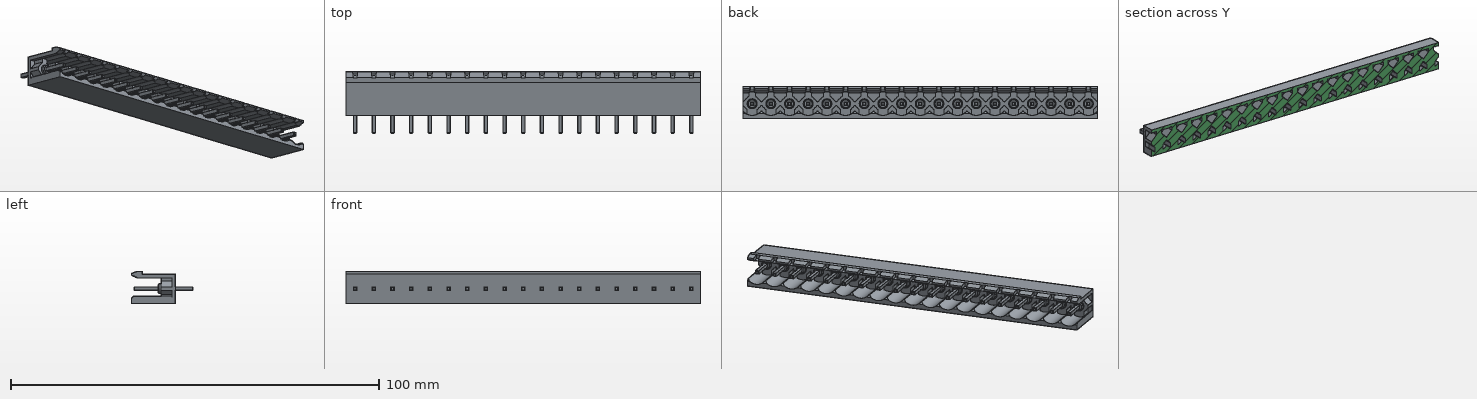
import cadquery as cq
import math

length = 96.4
pin_count = 19
pitch = length / pin_count
axis_height = 4.05

body_depth = 12.0
body_height = 8.0
floor_thickness = 2.0
roof_thickness = 1.1
back_wall = 0.9
floor_lip_chamfer = 0.6
roof_underside = body_height - roof_thickness

hook_top = 8.8
hook_start = 9.0
hook_crest_end = 10.4
tip_top = 8.2
tip_bottom = 7.7
underside_slope_start = 10.3

notch_inner_width = 1.0
notch_mouth_width = 1.4
notch_start = 10.2
notch_floor_height = 7.7
notch_floor_slope = math.radians(15)

channel_radius = 3.2

bridge_front = 3.9
bridge_band_height = 0.9
bridge_upper_half_width = 0.9
bridge_lower_half_width = 1.35
bridge_root = 0.5

collar_radius = 1.35
collar_front = 4.7
collar_chamfer = 0.3

pin_size = 1.0
pin_tip = 11.3
pin_tail = -4.8
pin_chamfer = 0.2

pin_positions = [(i + 0.5) * pitch for i in range(pin_count)]


def plane_across_y(x, y):
    """Plane on a pin axis, facing +Y."""
    return cq.Plane(origin=(x, y, axis_height), xDir=(1, 0, 0), normal=(0, 1, 0))


def make_housing():
    """C-shaped channel open towards +Y, with the hook on its roof."""
    profile = [
        (0, 0),
        (body_depth, 0),
        (body_depth, floor_thickness - floor_lip_chamfer),
        (body_depth - floor_lip_chamfer, floor_thickness),
        (back_wall, floor_thickness),
        (back_wall, roof_underside),
        (underside_slope_start, roof_underside),
        (body_depth, tip_bottom),
        (body_depth, tip_top),
        (hook_crest_end, hook_top),
        (hook_start, hook_top),
        (hook_start, body_height),
        (0, body_height),
    ]
    return cq.Workplane("YZ").polyline(profile).close().extrude(length)


def make_channel(x):
    """Round clearance that scallops the floor and the roof."""
    depth = body_depth - back_wall
    return cq.Workplane(plane_across_y(x, back_wall)).circle(channel_radius).extrude(depth)


def make_notch(x):
    """Cut through the hook tip with a floor that falls towards the free edge."""
    run = body_depth - notch_start
    profile = [
        (notch_start, hook_top),
        (notch_start, notch_floor_height),
        (body_depth, notch_floor_height - run * math.tan(notch_floor_slope)),
        (body_depth, hook_top),
    ]
    wedge = cq.Workplane("YZ").polyline(profile).close().extrude(notch_mouth_width, both=True)
    flare = [
        (-notch_inner_width / 2, notch_start),
        (notch_inner_width / 2, notch_start),
        (notch_mouth_width / 2, body_depth),
        (-notch_mouth_width / 2, body_depth),
    ]
    notch = wedge.intersect(cq.Workplane("XY").polyline(flare).close().extrude(hook_top))
    return notch.translate((x, 0, 0))


def make_bridge(x):
    """Pin carrier with 45 degree flanks, joined to its neighbours by a thin band."""
    half_pitch = pitch / 2
    band_top = axis_height + bridge_band_height / 2
    band_bottom = axis_height - bridge_band_height / 2
    neck_top = band_top + half_pitch - bridge_upper_half_width
    neck_bottom = band_bottom - half_pitch + bridge_lower_half_width
    right_side = [
        (bridge_lower_half_width, bridge_root),
        (bridge_lower_half_width, neck_bottom),
        (half_pitch, band_bottom),
        (half_pitch, band_top),
        (bridge_upper_half_width, neck_top),
        (bridge_upper_half_width, body_height),
    ]
    left_side = [(-px, pz) for px, pz in reversed(right_side)]
    outline = right_side + left_side
    bridge = cq.Workplane("XZ").polyline(outline).close().extrude(-bridge_front)
    return bridge.translate((x, 0, 0))


def make_pin(x):
    """Square pin with tapered ends and a round collar against the bridge."""
    pin = (
        cq.Workplane("XY")
        .box(pin_size, pin_tip - pin_tail, pin_size)
        .faces("<Y or >Y")
        .chamfer(pin_chamfer)
        .translate((x, (pin_tip + pin_tail) / 2, axis_height))
    )
    collar = cq.Workplane(plane_across_y(x, 0)).circle(collar_radius).extrude(collar_front)
    return pin.union(collar.faces(">Y").chamfer(collar_chamfer))


result = make_housing()
for x in pin_positions:
    result = result.cut(make_channel(x)).cut(make_notch(x))
for x in pin_positions:
    result = result.union(make_bridge(x)).union(make_pin(x))